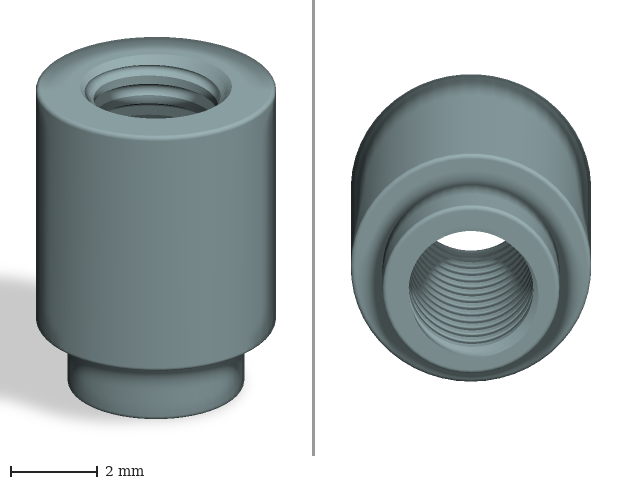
import cadquery as cq
import math

total_height = 7.57
body_diameter = 5.56
spigot_diameter = 4.09
spigot_height = 1.58
edge_radius = 0.1

minor_diameter = 2.885
mouth_diameter = 3.51
pitch = 0.5
crest_width = 0.21
flank_angle = 30.0
root_width = 0.03
profile_overlap = 0.03
bore_overrun = 3 * pitch
groove_height = 7.5
groove_angle = -90.0


def make_sleeve():
    spigot = (
        cq.Workplane("XY")
        .circle(spigot_diameter / 2)
        .extrude(total_height)
        .faces("<Z")
        .edges()
        .fillet(edge_radius)
    )
    body = (
        cq.Workplane("XY")
        .workplane(offset=spigot_height)
        .circle(body_diameter / 2)
        .extrude(total_height - spigot_height)
        .edges()
        .fillet(edge_radius)
    )
    return spigot.union(body)


def make_bore():
    return (
        cq.Workplane("XY")
        .workplane(offset=-bore_overrun)
        .circle(minor_diameter / 2)
        .extrude(total_height + 2 * bore_overrun)
    )


def make_countersink():
    mouth_radius = mouth_diameter / 2
    return (
        cq.Workplane("XZ")
        .moveTo(0, total_height - mouth_radius)
        .lineTo(mouth_radius, total_height)
        .lineTo(0, total_height)
        .close()
        .revolve(360, (0, 0, 0), (0, 1, 0))
    )


def make_thread_groove():
    slope = math.tan(math.radians(flank_angle))
    minor_radius = minor_diameter / 2
    half_opening = (pitch - crest_width) / 2
    root_radius = minor_radius + (half_opening - root_width / 2) / slope
    inner_radius = minor_radius - profile_overlap
    inner_half_width = half_opening + profile_overlap * slope

    turns_below = math.ceil(groove_height / pitch) + 1
    turns = turns_below + 1
    start_height = groove_height - turns_below * pitch
    helix = cq.Wire.makeHelix(pitch, turns * pitch, minor_radius)
    groove = (
        cq.Workplane("XZ")
        .polyline([
            (inner_radius, -inner_half_width),
            (root_radius, -root_width / 2),
            (root_radius, root_width / 2),
            (inner_radius, inner_half_width),
        ])
        .close()
        .sweep(cq.Workplane(obj=helix), isFrenet=True)
    )
    return groove.rotate((0, 0, 0), (0, 0, 1), groove_angle).translate((0, 0, start_height))


threaded_core = make_bore().union(make_thread_groove())
result = make_sleeve().cut(threaded_core).cut(make_countersink())